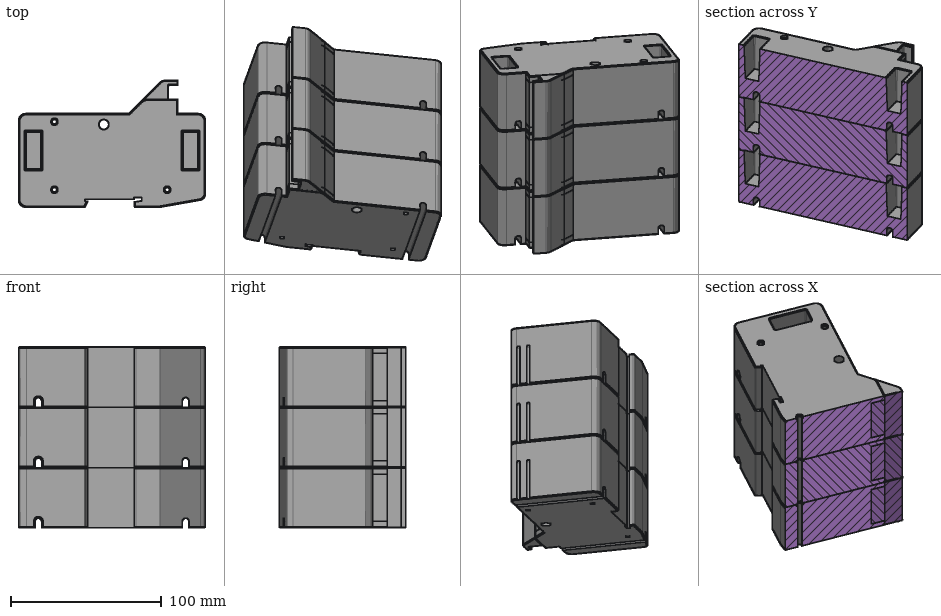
import cadquery as cq
import math

MODULE_COUNT = 3
STACK_HEIGHT = 120.0
PITCH = STACK_HEIGHT / MODULE_COUNT
LENGTH = 124.0
ROOF_Y = 62.2
TOWER_TOP_Y = 71.7
HOOK_TOP_Y = 84.2
RAMP_FOOT_X = 73.3
RAMP_ANGLE = 45.0
TOWER_END_X = 105.6

CORNER_RADIUS = 5.0
LIP_RADIUS = 1.0
HEEL_RADIUS = 4.3
HOUSING_CHAMFER = 0.7
HOOK_CHAMFER = 0.5
CHAMFER_ANGLE = 45.0

RAIL_FLOOR_Y = 5.3
LEFT_LIP_ROOT_X = 44.1
LEFT_LIP_TIP_X = 45.9
LEFT_LIP_Y = 4.1
RIGHT_LIP_TIP_X = 76.7
RIGHT_LIP_Y = 3.6
UNDERCUT_END_X = 81.6
UNDERCUT_LOW_Y = 4.3
UNDERCUT_TOP_Y = 6.5
SEAT_MARGIN = 0.1
HEEL_START_X = 93.6
HEEL_ANGLE = 10.0

CHEEK_THICKNESS = 4.3

HOOK_ARM_THICKNESS = 3.1
HOOK_STEM_X = 99.4
HOOK_INNER_RADIUS = 0.7

BAR_HOLE_DIAMETER = 6.5
BAR_HOLE_CENTRE = (56.5, 54.9)
RIVET_CENTRES = [(23.8, 56.8), (23.8, 11.7), (98.6, 11.7)]
RIVET_DIAMETER = 3.0
RIVET_BORE_DIAMETER = 4.7
RIVET_BORE_DEPTH = 1.5
POCKET_X_OFFSET = 9.9
POCKET_Y = 37.7
POCKET_SIZE = (11.3, 25.9)
POCKET_DEPTH = 24.8
POCKET_TAPER = 2.0
POCKET_CORNER_RADIUS = 1.0
POCKET_RIM_CHAMFER = 0.6

CHANNEL_X_OFFSET = 13.1
CHANNEL_WIDTH = 4.2
CHANNEL_HEIGHT = 6.3
CHANNEL_CHAMFER = 1.0
GROOVE_RADIUS = 1.05
GROOVE_YS = [55.7, 48.8]
GROOVE_LENGTH = 27.0

RAMP_SLOPE = math.tan(math.radians(RAMP_ANGLE))
TOWER_CORNER_X = RAMP_FOOT_X + (TOWER_TOP_Y - ROOF_Y) / RAMP_SLOPE
HOOK_CORNER_X = RAMP_FOOT_X + (HOOK_TOP_Y - ROOF_Y) / RAMP_SLOPE
HEEL_END_Y = (LENGTH - HEEL_START_X) * math.tan(math.radians(HEEL_ANGLE))


def round_corner(body, x, y, radius):
    """Round the edge parallel to Z that stands at (x, y)."""
    mid_edge = cq.selectors.NearestToPointSelector((x, y, PITCH / 2))
    return body.edges("|Z").edges(mid_edge).fillet(radius)


def tower_block():
    """Whole tower above the roof level, with its rounded corner at the top of the ramp."""
    tower = (
        cq.Workplane("XY")
        .polyline([
            (RAMP_FOOT_X, ROOF_Y),
            (TOWER_END_X, ROOF_Y),
            (TOWER_END_X, TOWER_TOP_Y),
            (TOWER_CORNER_X, TOWER_TOP_Y),
        ])
        .close()
        .extrude(PITCH)
    )
    return round_corner(tower, TOWER_CORNER_X, TOWER_TOP_Y, CORNER_RADIUS)


def housing_block():
    """Solid block with rail seat, sloped heel and tower; its end faces have chamfered rims."""
    block = (
        cq.Workplane("XY")
        .polyline([
            (0, 0),
            (LEFT_LIP_ROOT_X, 0),
            (LEFT_LIP_TIP_X, LEFT_LIP_Y),
            (LEFT_LIP_ROOT_X, LEFT_LIP_Y),
            (LEFT_LIP_ROOT_X, RAIL_FLOOR_Y),
            (RIGHT_LIP_TIP_X, RAIL_FLOOR_Y),
            (RIGHT_LIP_TIP_X, UNDERCUT_TOP_Y),
            (UNDERCUT_END_X, UNDERCUT_TOP_Y),
            (UNDERCUT_END_X, UNDERCUT_LOW_Y),
            (RIGHT_LIP_TIP_X, RIGHT_LIP_Y),
            (RIGHT_LIP_TIP_X, 0),
            (HEEL_START_X, 0),
            (LENGTH, HEEL_END_Y),
            (LENGTH, ROOF_Y),
            (TOWER_END_X, ROOF_Y),
            (TOWER_END_X, TOWER_TOP_Y),
            (TOWER_CORNER_X, TOWER_TOP_Y),
            (RAMP_FOOT_X, ROOF_Y),
            (0, ROOF_Y),
        ])
        .close()
        .extrude(PITCH)
    )
    for x, y in [(0, 0), (LENGTH, ROOF_Y), (0, ROOF_Y), (TOWER_CORNER_X, TOWER_TOP_Y)]:
        block = round_corner(block, x, y, CORNER_RADIUS)
    block = round_corner(block, LENGTH, HEEL_END_Y, HEEL_RADIUS)
    for x in (LEFT_LIP_ROOT_X, RIGHT_LIP_TIP_X):
        block = round_corner(block, x, 0, LIP_RADIUS)

    def outside_rail_seat(edge):
        centre = edge.Center()
        beside_seat = centre.x < LEFT_LIP_ROOT_X - SEAT_MARGIN or centre.x > UNDERCUT_END_X + SEAT_MARGIN
        return beside_seat or centre.y < RIGHT_LIP_Y or centre.y > ROOF_Y / 2

    rims = block.faces("|Z").edges().filter(outside_rail_seat)
    return rims.chamfer(HOUSING_CHAMFER)


def arched_cutter(x, half_width, bottom_z, depth, taper=0):
    """Round-topped cutter that enters the underside at x and runs along +Y."""
    spring_z = CHANNEL_HEIGHT - CHANNEL_WIDTH / 2
    return (
        cq.Workplane("XZ", origin=(x, 0, 0))
        .moveTo(-half_width, bottom_z)
        .lineTo(-half_width, spring_z)
        .threePointArc((0, spring_z + half_width), (half_width, spring_z))
        .lineTo(half_width, bottom_z)
        .close()
        .extrude(-depth, taper=taper)
    )


def wire_channel(x):
    """Channel through the whole block along Y, open at the bottom."""
    return arched_cutter(x, CHANNEL_WIDTH / 2, 0, ROOF_Y)


def channel_mouth(x):
    """Chamfered mouth of a wire channel on the underside face."""
    mouth_half_width = CHANNEL_WIDTH / 2 + CHANNEL_CHAMFER
    return arched_cutter(x, mouth_half_width, -CHANNEL_CHAMFER, CHANNEL_CHAMFER, CHAMFER_ANGLE)


def end_groove(y):
    """Half-round groove with a ball end, running up from the bottom of the -X face."""
    ball_z = GROOVE_LENGTH - GROOVE_RADIUS
    shaft = cq.Workplane("XY").center(0, y).circle(GROOVE_RADIUS).extrude(ball_z)
    ball = cq.Workplane("XY", origin=(0, y, ball_z)).sphere(GROOVE_RADIUS)
    return shaft.union(ball)


def side_pocket(x):
    """Tapered blind pocket sunk from the upper face, with a chamfered rim."""
    width, height = POCKET_SIZE
    top = cq.Workplane("XY", origin=(x, POCKET_Y, PITCH))
    well = (
        top.sketch().rect(width, height).vertices().fillet(POCKET_CORNER_RADIUS).finalize()
        .extrude(-POCKET_DEPTH, taper=POCKET_TAPER)
    )
    rim_growth = 2 * POCKET_RIM_CHAMFER
    rim = (
        top.sketch().rect(width + rim_growth, height + rim_growth)
        .vertices().fillet(POCKET_CORNER_RADIUS + POCKET_RIM_CHAMFER).finalize()
        .extrude(-POCKET_RIM_CHAMFER, taper=CHAMFER_ANGLE)
    )
    return well.union(rim)


def make_insert():
    """Block that fills the tower between its two cheeks."""
    middle = (
        cq.Workplane("XY", origin=(0, 0, CHEEK_THICKNESS))
        .rect(2 * LENGTH, 2 * LENGTH)
        .extrude(PITCH - 2 * CHEEK_THICKNESS)
    )
    return tower_block().intersect(middle)


def make_housing():
    """Block with room for the insert and all of its holes, pockets, channels and grooves."""
    housing = housing_block().cut(make_insert())
    housing = housing.cut(
        cq.Workplane("XY").center(*BAR_HOLE_CENTRE).circle(BAR_HOLE_DIAMETER / 2).extrude(PITCH)
    )
    housing = (
        housing.faces(">Z").workplane(origin=(0, 0, PITCH))
        .pushPoints(RIVET_CENTRES)
        .cboreHole(RIVET_DIAMETER, RIVET_BORE_DIAMETER, RIVET_BORE_DEPTH)
    )
    for x in (POCKET_X_OFFSET, LENGTH - POCKET_X_OFFSET):
        housing = housing.cut(side_pocket(x))
    for x in (CHANNEL_X_OFFSET, LENGTH - CHANNEL_X_OFFSET):
        housing = housing.cut(wire_channel(x))
    housing = housing.cut(channel_mouth(CHANNEL_X_OFFSET))
    for y in GROOVE_YS:
        housing = housing.cut(end_groove(y))
    return housing


def make_hook():
    """Finger hook on the tower; its foot follows the rounded corner down to the ramp."""
    ramp = math.radians(RAMP_ANGLE)
    tangent = CORNER_RADIUS * math.tan(ramp / 2)
    foot_tip = (
        TOWER_CORNER_X - tangent * math.cos(ramp),
        TOWER_TOP_Y - tangent * math.sin(ramp),
    )
    foot_end = (TOWER_CORNER_X + tangent, TOWER_TOP_Y)
    foot_middle = (
        foot_end[0] - CORNER_RADIUS * math.sin(ramp / 2),
        TOWER_TOP_Y - CORNER_RADIUS * (1 - math.cos(ramp / 2)),
    )
    arm_under_y = HOOK_TOP_Y - HOOK_ARM_THICKNESS
    hook = (
        cq.Workplane("XY")
        .moveTo(*foot_tip)
        .lineTo(HOOK_CORNER_X, HOOK_TOP_Y)
        .lineTo(TOWER_END_X, HOOK_TOP_Y)
        .lineTo(TOWER_END_X, arm_under_y)
        .lineTo(HOOK_STEM_X, arm_under_y)
        .lineTo(HOOK_STEM_X, TOWER_TOP_Y)
        .lineTo(*foot_end)
        .threePointArc(foot_middle, foot_tip)
        .close()
        .extrude(PITCH)
    )
    hook = round_corner(hook, HOOK_CORNER_X, HOOK_TOP_Y, CORNER_RADIUS)
    hook = round_corner(hook, HOOK_STEM_X, arm_under_y, HOOK_INNER_RADIUS)

    def above_base(edge):
        return edge.Center().y > TOWER_TOP_Y + HOOK_CHAMFER

    return hook.faces("|Z").edges().filter(above_base).chamfer(HOOK_CHAMFER)


housing = make_housing()
insert = make_insert()
hook = make_hook()
bodies = []
for level in range(MODULE_COUNT):
    for body in (housing, insert, hook):
        bodies.append(body.translate((0, 0, level * PITCH)).val())

result = cq.Compound.makeCompound(bodies)